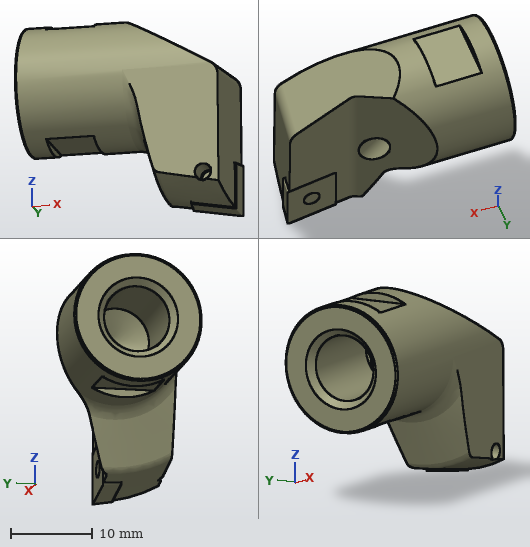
import cadquery as cq
import math


shank_diameter = 16.0
shank_radius = shank_diameter / 2
shank_edge_chamfer = 0.22
flat_start = 3.0
flat_length = 6.0
flat_half_span = 7.0

bore_radius = 4.1
bore_mouth_radius = 5.0
bore_depth = 13.0
drill_half_angle = 59.0

coolant_diameter = 3.0
coolant_y = 2.0
coolant_start_x = 11.8
coolant_slope = 45.0
coolant_length = 10.8

neck_corner_x = 15.1
neck_angle = 18.8
neck_fillet = 2.0
head_corner_radius = 15.47
head_corner_fillet = 1.0
head_bottom_angle = 10.0

clearance_angle = 7.0
end_top_x = 26.65
end_bottom_x = 26.8
end_bottom_z = -17.0
top_slope = 30.0
top_corner_z = -0.22
end_fillet = 1.8
back_plane_x = 18.35
back_fillet = 1.4

insert_corner_angle = 80.0
insert_inscribed_diameter = 6.35
insert_thickness = 2.38
insert_corner_fillet = 0.2
insert_tip_x = 27.0
insert_tip_z = -17.42

screw_radius = 1.03
screw_length = 5.0
screw_tip_chamfer = 0.22

stock = 29.7


def tan(degrees):
    return math.tan(math.radians(degrees))


insert_side = insert_inscribed_diameter / math.sin(math.radians(insert_corner_angle))
half_corner = math.radians(insert_corner_angle / 2)
tip_to_center = insert_inscribed_diameter / 2 / math.sin(half_corner)
insert_center = (
    insert_tip_x - tip_to_center * math.sin(half_corner),
    insert_tip_z + tip_to_center * math.cos(half_corner),
)


def make_turned_blank():
    """Full cylinder with a larger turned sector below it for the neck and head."""
    shank = cq.Workplane("YZ").circle(shank_radius).extrude(stock)
    corner_x = neck_corner_x + (head_corner_radius - shank_radius) * tan(neck_angle)
    far_radius = head_corner_radius + (stock - corner_x) * tan(head_bottom_angle)
    sector = (
        cq.Workplane("XY")
        .moveTo(0, 0)
        .lineTo(0, shank_radius)
        .lineTo(neck_corner_x, shank_radius)
        .lineTo(corner_x, head_corner_radius)
        .lineTo(stock, far_radius)
        .lineTo(stock, 0)
        .close()
        .revolve(180, (0, 0, 0), (-1, 0, 0))
    )
    sector = fillet_turned_corner(sector, neck_corner_x, neck_fillet)
    sector = fillet_turned_corner(sector, corner_x, head_corner_fillet)
    return shank.union(sector)


def fillet_turned_corner(body, corner_x, radius):
    """Round the semicircular edge that lies at corner_x."""
    margin = 0.03
    box = cq.selectors.BoxSelector(
        (corner_x - margin, -stock, -stock), (corner_x + margin, stock, stock), boundingbox=True
    )
    return body.edges(box).fillet(radius)


def make_plan_limit():
    """Plan outline: straight front side, 45 degree back, flat cutting plane."""
    return (
        cq.Workplane("XY", origin=(0, 0, -stock))
        .moveTo(0, -shank_radius)
        .lineTo(stock, -shank_radius)
        .lineTo(stock, 0)
        .lineTo(back_plane_x, 0)
        .lineTo(back_plane_x - shank_radius, shank_radius)
        .lineTo(0, shank_radius)
        .close()
        .extrude(2 * stock)
        .edges(cq.selectors.NearestToPointSelector((back_plane_x, 0, 0)))
        .fillet(back_fillet)
    )


def make_end_limit():
    """Slanted top and end face, extruded along the cutting clearance direction."""
    back_y = stock / 2
    span = 2 * back_y
    shift = back_y * tan(clearance_angle)
    face_lean = (end_bottom_x - end_top_x) / (top_corner_z - end_bottom_z)
    bottom_x = end_top_x + (top_corner_z + stock) * face_lean
    top_left_z = top_corner_z + (end_top_x + stock) * tan(top_slope)
    wire = (
        cq.Workplane("XZ")
        .moveTo(-stock, -stock)
        .lineTo(bottom_x, -stock)
        .lineTo(end_top_x, top_corner_z)
        .lineTo(-stock, top_left_z)
        .close()
        .val()
        .translate(cq.Vector(shift, back_y, 0))
    )
    sweep = cq.Vector(-span * tan(clearance_angle), -span, 0)
    prism = cq.Workplane(cq.Solid.extrudeLinear(wire, [], sweep))
    corner = cq.selectors.NearestToPointSelector((end_top_x, 0, top_corner_z))
    return prism.edges(corner).fillet(end_fillet)


def make_spanner_flats():
    """Two blocks that cut the flats above and below the shank."""
    cutter = cq.Workplane("XY")
    height = shank_radius
    for side in (1, -1):
        block = cq.Workplane("XY").box(flat_length, 2 * shank_radius, height)
        middle_x = flat_start + flat_length / 2
        cutter = cutter.add(block.translate((middle_x, 0, side * (flat_half_span + height / 2))))
    return cutter.combine()


def make_bore():
    """Blind bore with a 45 degree mouth and a drill point floor."""
    mouth_depth = bore_mouth_radius - bore_radius
    return (
        cq.Workplane("XY")
        .moveTo(0, 0)
        .lineTo(0, bore_mouth_radius)
        .lineTo(mouth_depth, bore_radius)
        .lineTo(bore_depth, bore_radius)
        .lineTo(bore_depth + bore_radius / tan(drill_half_angle), 0)
        .close()
        .revolve(360, (0, 0, 0), (1, 0, 0))
    )


def make_coolant_hole():
    angle = math.radians(coolant_slope)
    direction = cq.Vector(math.cos(angle), 0, -math.sin(angle))
    start = cq.Vector(coolant_start_x, coolant_y, 0)
    return cq.Workplane(cq.Solid.makeCylinder(coolant_diameter / 2, coolant_length, start, direction))


def make_screw_hole():
    """Straight hole through the insert and the head, parallel to Y."""
    return cq.Workplane("XZ").center(*insert_center).circle(screw_radius).extrude(stock)


def make_insert_blank():
    """Rhombic plate whose sides lean in by the clearance angle below the cutting plane."""
    lean = math.radians(90 - insert_corner_angle)
    run = insert_side * math.cos(lean)
    rise = insert_side * math.sin(lean)
    return (
        cq.Workplane("XZ")
        .moveTo(insert_tip_x, insert_tip_z)
        .lineTo(insert_tip_x, insert_tip_z + insert_side)
        .lineTo(insert_tip_x - run, insert_tip_z + insert_side + rise)
        .lineTo(insert_tip_x - run, insert_tip_z + rise)
        .close()
        .extrude(insert_thickness, taper=clearance_angle)
        .edges("not (>Y or <Y)")
        .fillet(insert_corner_fillet)
    )


def make_holder():
    blank = make_turned_blank().intersect(make_plan_limit()).intersect(make_end_limit())
    blank = blank.faces("<X").edges().chamfer(shank_edge_chamfer)
    holder = blank.cut(make_spanner_flats()).cut(make_bore()).cut(make_coolant_hole())
    return holder.cut(make_insert_blank()).cut(make_screw_hole())


def make_insert():
    return make_insert_blank().cut(make_screw_hole())


def make_screw():
    """Plain pin, flush with the cutting plane and chamfered at its tip."""
    pin = cq.Workplane("XZ").center(*insert_center).circle(screw_radius).extrude(screw_length)
    return pin.faces("<Y").edges().chamfer(screw_tip_chamfer)


holder = make_holder()
insert = make_insert()
screw = make_screw()

result = cq.Compound.makeCompound([holder.val(), insert.val(), screw.val()])